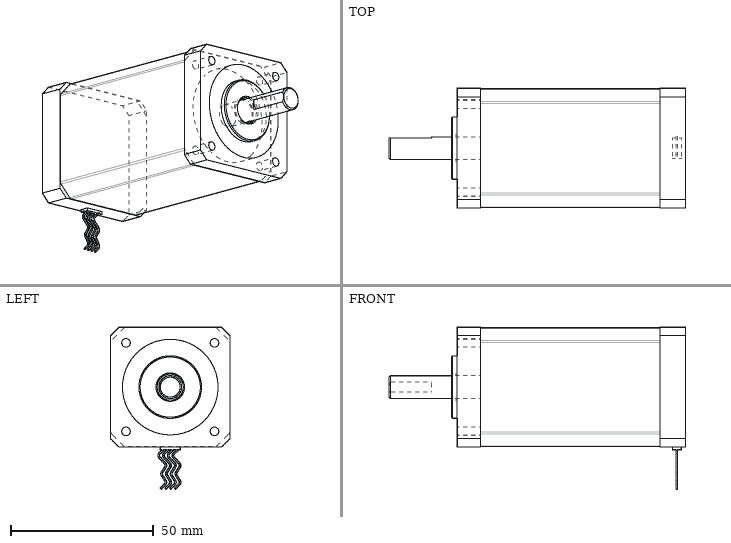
import cadquery as cq


COVER_WIDTH = 42.0
COVER_CORNER = 3.0
FRONT_LENGTH = 8.2
STATOR_LENGTH = 62.8
REAR_LENGTH = 9.0
STATOR_WIDTH = 41.7
STATOR_CORNER = 4.8
STATOR_EDGE_RADIUS = 1.0

SCREW_SPACING = 31.0
SCREW_DIAMETER = 3.0

DISC_DIAMETER = 33.5
BOSS_DIAMETER = 21.9
BOSS_HEIGHT = 2.0
BOSS_CHAMFER = 0.4
RECESS_DIAMETER = 9.2
RECESS_CHAMFER = 0.4

SHAFT_DIAMETER = 8.0
SHAFT_REACH = 23.9
SHAFT_CHAMFER = 0.5
FLAT_LENGTH = 15.0
FLAT_DEPTH = 0.4

CONNECTOR_LENGTH = 3.1
CONNECTOR_WIDTH = 7.2
CONNECTOR_HEIGHT = 0.9
CONNECTOR_TO_REAR = 3.1
LEAD_COUNT = 4
LEAD_PITCH = 1.7
LEAD_DIAMETER = 0.6
LEAD_BEND_RADIUS = 1.0
LEAD_CORNERS = [(-0.1, 0), (2.0, 2.0), (-1.2, 5.4), (0.7, 8.4), (-1.2, 11.5), (0.8, 13.6)]

REAR_START = FRONT_LENGTH + STATOR_LENGTH
REAR_END = REAR_START + REAR_LENGTH
CONNECTOR_X = REAR_END - CONNECTOR_TO_REAR
CONNECTOR_BOTTOM = -COVER_WIDTH / 2 - CONNECTOR_HEIGHT


def cylinder(start_x, end_x, diameter):
    """Cylinder on the motor axis between two X positions."""
    section = cq.Workplane("YZ", origin=(start_x, 0, 0)).circle(diameter / 2)
    return section.extrude(end_x - start_x)


def square_block(start_x, length, width, corner):
    """Square block along X with its four long edges chamfered."""
    section = cq.Workplane("YZ", origin=(start_x, 0, 0)).rect(width, width)
    return section.extrude(length).edges("|X").chamfer(corner)


def make_front_cover():
    cover = square_block(0, FRONT_LENGTH, COVER_WIDTH, COVER_CORNER)
    screw_holes = (
        cq.Workplane("YZ")
        .rect(SCREW_SPACING, SCREW_SPACING, forConstruction=True)
        .vertices()
        .circle(SCREW_DIAMETER / 2)
        .extrude(FRONT_LENGTH)
    )
    return cover.cut(screw_holes).cut(cylinder(0, FRONT_LENGTH, DISC_DIAMETER))


def make_bearing_carrier():
    boss = cylinder(-BOSS_HEIGHT, 0, BOSS_DIAMETER).faces("<X").chamfer(BOSS_CHAMFER)
    carrier = cylinder(0, FRONT_LENGTH, DISC_DIAMETER).union(boss)
    carrier = carrier.cut(cylinder(-BOSS_HEIGHT, 0, RECESS_DIAMETER))
    recess_rim = carrier.faces("<X").edges(cq.selectors.RadiusNthSelector(0))
    carrier = recess_rim.chamfer(RECESS_CHAMFER)
    return carrier.cut(cylinder(0, FRONT_LENGTH, SHAFT_DIAMETER))


def make_shaft():
    shaft = cylinder(-SHAFT_REACH, FRONT_LENGTH, SHAFT_DIAMETER)
    shaft = shaft.faces("<X").chamfer(SHAFT_CHAMFER)
    flat_cut = cq.Workplane().box(
        FLAT_LENGTH, FLAT_DEPTH, SHAFT_DIAMETER, centered=(False, False, True)
    )
    return shaft.cut(flat_cut.translate((-SHAFT_REACH, SHAFT_DIAMETER / 2 - FLAT_DEPTH, 0)))


def make_stator():
    stator = square_block(FRONT_LENGTH, STATOR_LENGTH, STATOR_WIDTH, STATOR_CORNER)
    return stator.edges("|X").fillet(STATOR_EDGE_RADIUS)


def make_lead(start_y):
    """Round wavy lead that hangs from the connector and bends in the YZ plane."""
    corners = [
        cq.Vector(CONNECTOR_X, start_y + sideways, CONNECTOR_BOTTOM - down)
        for sideways, down in LEAD_CORNERS
    ]
    path = cq.Wire.makePolygon(corners)
    path = path.fillet(LEAD_BEND_RADIUS, path.Vertices()[1:-1])
    start_plane = cq.Plane(path.startPoint(), (1, 0, 0), path.tangentAt(0))
    return cq.Workplane(start_plane).circle(LEAD_DIAMETER / 2).sweep(cq.Workplane(path))


def make_rear_cover():
    """Rear cover in one piece with the connector block and its leads."""
    cover = square_block(REAR_START, REAR_LENGTH, COVER_WIDTH, COVER_CORNER)
    connector = cq.Workplane().box(
        CONNECTOR_LENGTH, CONNECTOR_WIDTH, CONNECTOR_HEIGHT, centered=(True, True, False)
    )
    cover = cover.union(connector.translate((CONNECTOR_X, 0, CONNECTOR_BOTTOM)))
    for index in range(LEAD_COUNT):
        start_y = (index - (LEAD_COUNT - 1) / 2) * LEAD_PITCH
        cover = cover.union(make_lead(start_y))
    return cover


front_cover = make_front_cover()
bearing_carrier = make_bearing_carrier()
shaft = make_shaft()
stator = make_stator()
rear_cover = make_rear_cover()

result = cq.Compound.makeCompound([
    front_cover.val(),
    bearing_carrier.val(),
    shaft.val(),
    stator.val(),
    rear_cover.val(),
])